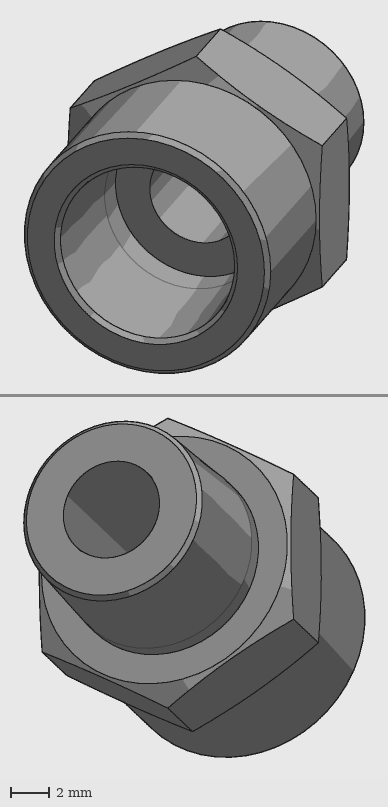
import cadquery as cq
import math

total_length = 19.9
body_length = 7.2
hex_length = 4.72
collar_length = 1.0

front_y = -total_length / 2
hex_front_y = front_y + body_length
hex_back_y = hex_front_y + hex_length
taper_start_y = hex_back_y + collar_length
back_y = total_length / 2

hex_across_flats = 14.0
hex_across_corners = hex_across_flats / math.cos(math.pi / 6)
hex_chamfer_length = 0.5
body_radius = 13.7 / 2
body_chamfer = 0.25
spigot_radius = 10.47 / 2
taper_end_radius = 9.95 / 2
spigot_chamfer = 0.24

bore_radius = 5.35 / 2
socket_mouth_radius = 10.19 / 2
socket_front_radius = 9.67 / 2
socket_floor_radius = 9.15 / 2
socket_taper_depth = 6.29
socket_depth = 7.96
mouth_chamfer = socket_mouth_radius - socket_front_radius


def revolve_about_y(points):
    """Revolve a closed outline of (radius, y) points about the Y axis."""
    return cq.Workplane("XY").polyline(points).close().revolve(360, (0, 0, 0), (0, 1, 0))


def make_body():
    return revolve_about_y([
        (0, front_y),
        (body_radius - body_chamfer, front_y),
        (body_radius, front_y + body_chamfer),
        (body_radius, hex_front_y),
        (0, hex_front_y),
    ])


def make_hexagon():
    """Hexagon with corners on the Z axis, ends chamfered from the body diameter."""
    prism = (
        cq.Workplane("XZ", origin=(0, hex_back_y, 0))
        .transformed(rotate=(0, 0, 90))
        .polygon(6, hex_across_corners)
        .extrude(hex_length)
    )
    corner_radius = hex_across_corners / 2
    envelope = revolve_about_y([
        (0, hex_front_y),
        (body_radius, hex_front_y),
        (corner_radius, hex_front_y + hex_chamfer_length),
        (corner_radius, hex_back_y - hex_chamfer_length),
        (body_radius, hex_back_y),
        (0, hex_back_y),
    ])
    return prism.intersect(envelope)


def make_spigot():
    return revolve_about_y([
        (0, hex_back_y),
        (spigot_radius, hex_back_y),
        (spigot_radius, taper_start_y),
        (taper_end_radius, back_y - spigot_chamfer),
        (taper_end_radius - spigot_chamfer, back_y),
        (0, back_y),
    ])


def make_bore():
    """Through bore with a chamfered front socket that tapers, then runs straight to a flat floor."""
    return revolve_about_y([
        (0, front_y),
        (socket_mouth_radius, front_y),
        (socket_front_radius, front_y + mouth_chamfer),
        (socket_floor_radius, front_y + socket_taper_depth),
        (socket_floor_radius, front_y + socket_depth),
        (bore_radius, front_y + socket_depth),
        (bore_radius, back_y),
        (0, back_y),
    ])


result = make_body().union(make_hexagon()).union(make_spigot()).cut(make_bore())